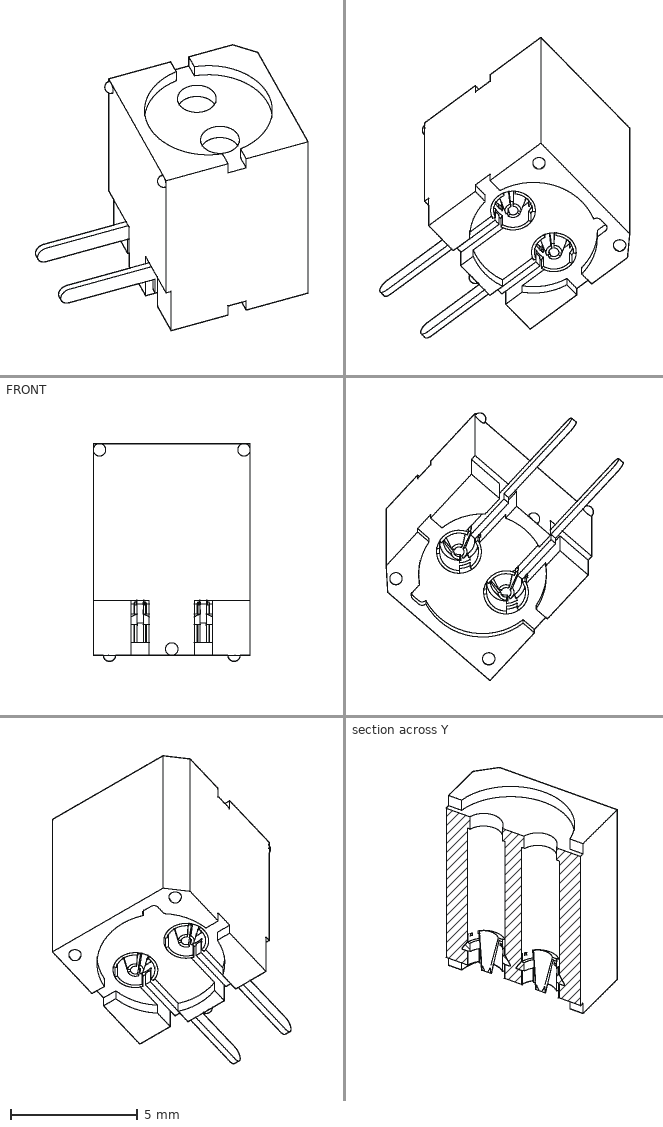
import cadquery as cq
import math

width = 6.22
depth = 6.05
height = 8.39
corner_chamfer = 0.77
recess_radius = 2.53
recess_depth = 0.5
groove_width = 0.77
rebate_depth = 0.22
rebate_height = 2.18
pin_slot_width = 0.71
polarity_notch_corner = 0.2
polarity_notch_back = 2.56
dome_radius = 0.25
bottom_dome_inset = 0.64

pitch = 2.5
mouth_radius = 0.77
bore_shoulder_z = 7.27

contact_bottom = recess_depth
sleeve_radius = 0.89
sleeve_top = 2.03
crest_radius = 0.59
crest_rise = 0.2
throat_radius = 0.2
finger_thickness = 0.12
fold_radius = 0.62
finger_slit_half_angle = 12.5
sleeve_slit_half_angle = 16.5
slit_angles = (-90, 30, 150)
barb_radius = 1.14
barb_bottom = 1.22
barb_top = 1.64
pin_thickness = 0.25
pin_width = 0.75
pin_tip_radius = pin_width / 2 - 0.001
overall_length = 9.86
pin_tip_y = depth / 2 - overall_length

front_y = -depth / 2
rebate_y = front_y + rebate_depth
contact_positions = (-pitch / 2, pitch / 2)


def cylinder(x, radius, bottom, top):
    """Vertical cylinder on the Y = 0 plane."""
    return cq.Workplane("XY", origin=(x, 0, bottom)).circle(radius).extrude(top - bottom)


def box(x_range, y_range, z_range):
    """Box given by its limits along each axis."""
    (x0, x1), (y0, y1), (z0, z1) = x_range, y_range, z_range
    return cq.Workplane("XY").box(x1 - x0, y1 - y0, z1 - z0, centered=False).translate((x0, y0, z0))


def centred_range(middle, size):
    return (middle - size / 2, middle + size / 2)


def make_barb_trim():
    """Block that trims the barb flat at the front, level with the sleeve."""
    return box((-barb_radius, barb_radius), (-barb_radius, -sleeve_radius), (barb_bottom, barb_top))


def make_barb():
    """Barb taper, solid to the axis."""
    profile = [(0, barb_bottom), (barb_radius, barb_bottom), (sleeve_radius, barb_top), (0, barb_top)]
    taper = cq.Workplane("XZ").polyline(profile).close().revolve(360, (0, 0), (0, 1))
    return taper.cut(make_barb_trim())


def make_recess(bottom):
    """Round recess with a straight groove running out through both sides."""
    top = bottom + recess_depth
    groove = box(centred_range(0, width), centred_range(0, groove_width), (bottom, top))
    return cylinder(0, recess_radius, bottom, top).union(groove)


def make_rebate(side):
    """Shallow step in the front face, from the pin slot out to one side wall."""
    x_limits = sorted((side * pitch / 2, side * width / 2))
    return box(x_limits, (front_y, rebate_y), (0, rebate_height))


def make_pin_slot(x):
    return box(centred_range(x, pin_slot_width), (front_y, 0), (0, rebate_height))


def make_polarity_notch():
    """Round-cornered notch in the wall of the bottom recess, behind the left contact."""
    notch = box(centred_range(-pitch / 2, pin_slot_width), (0, polarity_notch_back), (0, recess_depth))
    return notch.edges("|Z and >Y").fillet(polarity_notch_corner)


def make_domes():
    """Standoff balls, half sunk into the front and bottom faces."""
    side_x = width / 2 - dome_radius
    bottom_x = width / 2 - bottom_dome_inset
    bottom_y = depth / 2 - bottom_dome_inset
    centres = [
        (-side_x, front_y, height - dome_radius),
        (side_x, front_y, height - dome_radius),
        (0, front_y, dome_radius),
        (-bottom_x, bottom_y, 0),
        (bottom_x, bottom_y, 0),
    ]
    return [cq.Workplane("XY").sphere(dome_radius).translate(centre) for centre in centres]


def make_housing():
    body = cq.Workplane("XY").box(width, depth, height, centered=(True, True, False))
    body = body.edges("|Z and <X and >Y").chamfer(corner_chamfer)
    for dome in make_domes():
        body = body.union(dome)
    body = body.cut(make_recess(0)).cut(make_recess(height - recess_depth))
    body = body.cut(make_polarity_notch())
    for side in (-1, 1):
        body = body.cut(make_rebate(side))
    barb = make_barb()
    for x in contact_positions:
        body = body.cut(cylinder(x, mouth_radius, 0, height))
        body = body.cut(cylinder(x, sleeve_radius, 0, bore_shoulder_z))
        body = body.cut(make_pin_slot(x))
        body = body.cut(barb.translate((x, 0, 0)))
    return body


def make_folded_sleeve():
    """Barbed sleeve that leans in to a crest, then folds down into a narrowing funnel."""
    crest_z = sleeve_top + crest_rise
    lean = crest_rise / (sleeve_radius - crest_radius)
    fold_z = crest_z - lean * (fold_radius - crest_radius) - finger_thickness
    wall_inner_top = crest_z - lean * (mouth_radius - crest_radius) - finger_thickness
    profile = [
        (mouth_radius, contact_bottom),
        (sleeve_radius, contact_bottom),
        (sleeve_radius, barb_bottom),
        (barb_radius, barb_bottom),
        (sleeve_radius, barb_top),
        (sleeve_radius, sleeve_top),
        (crest_radius, crest_z),
        (throat_radius, contact_bottom),
        (throat_radius + finger_thickness, contact_bottom),
        (fold_radius, fold_z),
        (mouth_radius, wall_inner_top),
    ]
    sleeve = cq.Workplane("XZ").polyline(profile).close().revolve(360, (0, 0), (0, 1))
    return sleeve.cut(make_barb_trim())


def make_wedge(half_angle):
    """Upright wedge opening along +X from the axis."""
    reach = 2 * sleeve_radius
    half_width = reach * math.tan(math.radians(half_angle))
    outline = [(0, 0), (reach, -half_width), (reach, half_width)]
    return cq.Workplane("XY").polyline(outline).close().extrude(height)


def make_slit(angle):
    """Radial slit, wider through the sleeve wall, leaving the barb whole to tie the fingers together."""
    core = cylinder(0, mouth_radius, 0, height)
    tie = cylinder(0, 2 * barb_radius, barb_bottom, barb_top).cut(core)
    sleeve_slit = make_wedge(sleeve_slit_half_angle).cut(core).cut(tie)
    finger_slit = make_wedge(finger_slit_half_angle).intersect(core)
    return finger_slit.union(sleeve_slit).rotate((0, 0, 0), (0, 0, 1), angle)


def make_pin():
    """Upright plate in the pin slot, carrying the long round-ended pin."""
    root_y = -(mouth_radius + sleeve_radius) / 2
    x_range = centred_range(0, pin_thickness)
    plate = box(x_range, (rebate_y, root_y), (contact_bottom, sleeve_top))
    blade = box(x_range, (pin_tip_y, root_y), (sleeve_top - pin_width, sleeve_top))
    blade = blade.edges("|X and <Y").fillet(pin_tip_radius)
    return plate.union(blade)


def make_contact(x):
    fingers = make_folded_sleeve()
    for angle in slit_angles:
        fingers = fingers.cut(make_slit(angle))
    contact = fingers.union(make_pin())
    return contact.translate((x, 0, 0))


housing = make_housing()
contacts = [make_contact(x) for x in contact_positions]

result = cq.Compound.makeCompound([housing.val(), *[contact.val() for contact in contacts]])